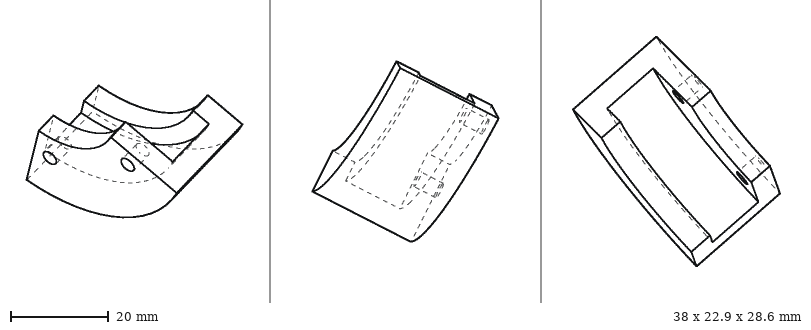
import cadquery as cq
import math

outer_radius = 34.15
front_wall_radius = 16.35
back_wall_radius = 24.8
groove_floor_radius = 29.1

wall_thickness = 5.15
groove_width = 12.6

start_angle = -100
end_angle = -20

hole_diameter = 3.3
hole_circle_radius = 22.7
hole_angles = (-90, -30)


def polar(radius, angle):
    """Point in the XZ plane at a radius and angle about the arc axis."""
    return (radius * math.cos(math.radians(angle)), radius * math.sin(math.radians(angle)))


def ring_sector(inner_radius, front_y, thickness):
    """Sector from inner_radius to the outer rim, extending toward +Y from front_y."""
    middle_angle = (start_angle + end_angle) / 2
    return (
        cq.Workplane("XZ", origin=(0, front_y, 0))
        .moveTo(*polar(inner_radius, start_angle))
        .lineTo(*polar(outer_radius, start_angle))
        .threePointArc(polar(outer_radius, middle_angle), polar(outer_radius, end_angle))
        .lineTo(*polar(inner_radius, end_angle))
        .threePointArc(polar(inner_radius, middle_angle), polar(inner_radius, start_angle))
        .close()
        .extrude(-thickness)
    )


groove_back_y = wall_thickness + groove_width
front_wall = ring_sector(front_wall_radius, 0, wall_thickness)
groove_floor = ring_sector(groove_floor_radius, wall_thickness, groove_width)
back_wall = ring_sector(back_wall_radius, groove_back_y, wall_thickness)

holes = (
    cq.Workplane("XZ")
    .pushPoints([polar(hole_circle_radius, angle) for angle in hole_angles])
    .circle(hole_diameter / 2)
    .extrude(-wall_thickness)
)

result = front_wall.union(groove_floor).union(back_wall).cut(holes)